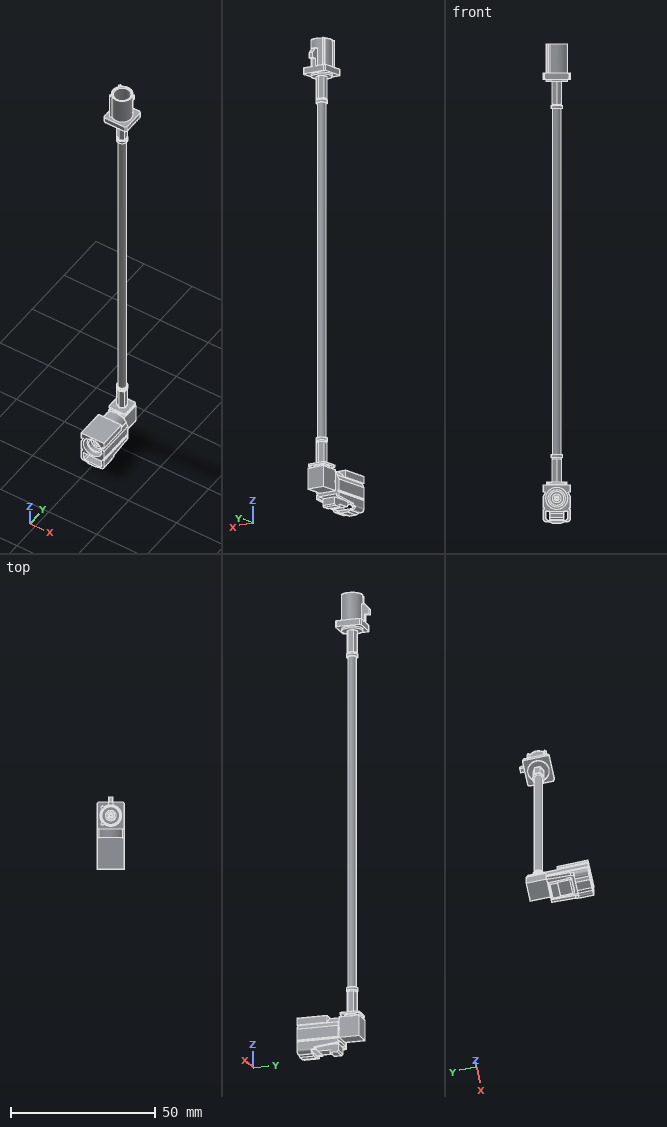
import cadquery as cq
import math


HEIGHT = 166.4
FLANGE_TOP = 156.2
FLANGE_BOTTOM = 154.0
STUB_BOTTOM = 153.4
PLATE_TOP = 14.3
PLATE_THICKNESS = 0.7

CABLE_RADIUS = 1.5
HEX_SIDES = 6
HEX_ACROSS_FLATS = 3.3
RING_RADIUS = 2.0
RING_LENGTH = 1.0
NECK_LENGTH = 0.5
FERRULE_LENGTH = 9.5

HOUSING_WIDTH = 9.5
BARREL_RADIUS = 7.5 / 2
BARREL_BORE_RADIUS = 6.2 / 2
MOUTH_CHAMFER = 0.3
FLANGE_CHAMFER = 0.5
KEY_TIP_RADIUS = 4.5
KEY_WIDTH = 0.75
KEY_ANGLES = (135, 225)
CATCH_WIDTH = 1.5
CATCH_STEM = HOUSING_WIDTH / 2
CATCH_TIP = 6.5
CATCH_TOP = 162.7
CATCH_TIP_TOP = 160.7
CATCH_TIP_BOTTOM = 158.9

SOCKET_RADIUS = 1.8
SOCKET_BORE_RADIUS = 1.3
PIN_RADIUS = 0.8
PIN_CHAMFER = 0.42
SOCKET_HEIGHT = 3.3

ELBOW_WIDTH = 6.7
ELBOW_LENGTH = 7.3
ELBOW_BOTTOM = 5.3
ELBOW_TOP = 12.8
PLATE_WIDTH = 7.0
PLATE_CHAMFER = 0.5
COLLAR_RADIUS = 5.5 / 2
SLEEVE_RADIUS = 3.0
SLEEVE_WALL = 0.58
SLEEVE_END = -17.5
INSULATOR_END = -15.8
INSULATOR_BORE_RADIUS = 1.5
INSULATOR_BORE_DEPTH = 3.3

BACK_Y = -ELBOW_LENGTH / 2
FRONT_Y = -18.6
BODY_TOP = 13.3
BODY_BOTTOM = 4.2
MATING_Z = 8.7
MATING_BORE_RADIUS = 3.8
SHOULDER_Y = -7.7
MATING_BORE_FLOOR = SHOULDER_Y
SHOULDER_Z = 10.8
SIDE_GROOVE_DEPTH = 0.75
SIDE_GROOVE_BOTTOM = 9.3
SLIT_DEPTH = 0.3
SLIT_BOTTOM = 4.8
SLIT_TOP = 5.3
LEG_THICKNESS = 1.0
LEG_BOTTOM = 1.7
LEG_BACK_BOTTOM = 3.3
LEG_MIDDLE_BOTTOM = 2.3
LEG_STEP_Y = -12.3
BRIDGE_BACK_Y = -13.5
BRIDGE_UNDERSIDE = 0.5
BRIDGE_TOP = 1.0
PAD_HALF_WIDTH = 2.7
PAD_TIP_HALF_WIDTH = 1.5
WINDOW_CHAMFER = 0.58

LEVER_WIDTH = 5.0
LEVER_ROOT_Y = -10.6
LEVER_ROOT_FRONT_Y = -12.0
LEVER_TOP = 3.3
LEVER_UNDERSIDE = 1.3
HOOK_BACK_Y = -4.2
HOOK_FRONT_Y = -7.3
HOOK_BOTTOM = 0.42
HOOK_CHAMFER = 0.5
LEVER_TIP_CHAMFER = 0.7


def cylinder(radius, bottom, top):
    """Solid cylinder on the cable axis."""
    return cq.Workplane("XY").workplane(offset=bottom).circle(radius).extrude(top - bottom)


def mating_cylinder(radius, back, front):
    """Solid cylinder on the axis of the angled connector, from back to front along -Y."""
    return cq.Workplane("XZ", origin=(0, back, MATING_Z)).circle(radius).extrude(back - front)


def square_slab(width, bottom, top, corner_chamfer):
    """Square plate on the cable axis with chamfered corners."""
    slab = cq.Workplane("XY").workplane(offset=bottom).rect(width, width).extrude(top - bottom)
    return slab.edges("|Z").chamfer(corner_chamfer)


def side_profile(points, width):
    """Prism of a (y, z) outline, centred on X = 0."""
    return cq.Workplane("YZ").polyline(points).close().extrude(width / 2, both=True)


def make_cable():
    return cylinder(CABLE_RADIUS, PLATE_TOP, STUB_BOTTOM)


def make_ferrule(connector_z, direction):
    """Hexagonal crimp with a round ring at its cable end; direction +1 points up the cable."""
    ring_start = FERRULE_LENGTH - RING_LENGTH
    hex_end = ring_start - NECK_LENGTH
    corner_diameter = HEX_ACROSS_FLATS / math.cos(math.pi / HEX_SIDES)
    ferrule = cq.Workplane("XY").polygon(HEX_SIDES, corner_diameter).extrude(hex_end)
    ferrule = ferrule.rotate((0, 0, 0), (0, 0, 1), 90)
    ferrule = ferrule.union(cylinder(HEX_ACROSS_FLATS / 2, hex_end, ring_start))
    ferrule = ferrule.union(cylinder(RING_RADIUS, ring_start, FERRULE_LENGTH))
    ferrule = ferrule.cut(cylinder(CABLE_RADIUS, 0, FERRULE_LENGTH))
    if direction < 0:
        ferrule = ferrule.mirror("XY")
    return ferrule.translate((0, 0, connector_z))


def make_straight_housing():
    """Barrel with keys and a catch on a square flange, with the contact socket in its floor."""
    housing = square_slab(HOUSING_WIDTH, FLANGE_BOTTOM, FLANGE_TOP, FLANGE_CHAMFER)
    housing = housing.union(cylinder(BARREL_RADIUS, STUB_BOTTOM, HEIGHT))
    barrel_length = HEIGHT - FLANGE_TOP
    for angle in KEY_ANGLES:
        key = cq.Workplane("XY").box(KEY_TIP_RADIUS, KEY_WIDTH, barrel_length, centered=(False, True, False))
        key = key.rotate((0, 0, 0), (0, 0, 1), angle).translate((0, 0, FLANGE_TOP))
        housing = housing.union(key)
    catch = side_profile(
        [
            (0, FLANGE_TOP),
            (CATCH_STEM, FLANGE_TOP),
            (CATCH_STEM, CATCH_TIP_BOTTOM),
            (CATCH_TIP, CATCH_TIP_BOTTOM),
            (CATCH_TIP, CATCH_TIP_TOP),
            (CATCH_STEM, CATCH_TOP),
            (0, CATCH_TOP),
        ],
        CATCH_WIDTH,
    )
    housing = housing.union(catch)
    housing = housing.cut(cylinder(BARREL_BORE_RADIUS, FLANGE_TOP, HEIGHT))
    bore_rim = cq.selectors.RadiusNthSelector(0)
    housing = housing.faces(">Z").edges("%CIRCLE").edges(bore_rim).chamfer(MOUTH_CHAMFER)
    socket_top = FLANGE_TOP + SOCKET_HEIGHT
    socket = cylinder(SOCKET_RADIUS, FLANGE_TOP, socket_top)
    socket = socket.cut(cylinder(SOCKET_BORE_RADIUS, FLANGE_TOP, socket_top))
    pin = cylinder(PIN_RADIUS, FLANGE_TOP, socket_top).faces(">Z").chamfer(PIN_CHAMFER)
    return housing.union(socket).union(pin)


def make_elbow():
    """Elbow block with the cable plate on top and the contact sleeve towards -Y."""
    elbow = cq.Workplane("XY").workplane(offset=ELBOW_BOTTOM)
    elbow = elbow.rect(ELBOW_WIDTH, ELBOW_LENGTH).extrude(ELBOW_TOP - ELBOW_BOTTOM)
    plate_bottom = PLATE_TOP - PLATE_THICKNESS
    elbow = elbow.union(cylinder(COLLAR_RADIUS, ELBOW_TOP, plate_bottom))
    elbow = elbow.union(square_slab(PLATE_WIDTH, plate_bottom, PLATE_TOP, PLATE_CHAMFER))
    elbow = elbow.union(mating_cylinder(SLEEVE_RADIUS, BACK_Y, SLEEVE_END))
    elbow = elbow.cut(mating_cylinder(SLEEVE_RADIUS - SLEEVE_WALL, INSULATOR_END, SLEEVE_END))
    socket_floor = INSULATOR_END + INSULATOR_BORE_DEPTH
    elbow = elbow.cut(mating_cylinder(INSULATOR_BORE_RADIUS, socket_floor, INSULATOR_END))
    pin = mating_cylinder(PIN_RADIUS, socket_floor, INSULATOR_END).faces("<Y").chamfer(PIN_CHAMFER)
    return elbow.union(pin)


def body_section():
    """Front outline of the angled housing above its legs, with the grooves in both sides."""
    half = HOUSING_WIDTH / 2
    right = [
        (half, BODY_TOP),
        (half, SHOULDER_Z),
        (half - SIDE_GROOVE_DEPTH, SHOULDER_Z),
        (half, SIDE_GROOVE_BOTTOM),
        (half, SLIT_TOP),
        (half - SLIT_DEPTH, SLIT_TOP),
        (half - SLIT_DEPTH, SLIT_BOTTOM),
        (half, SLIT_BOTTOM),
        (half, BODY_BOTTOM),
    ]
    left = [(-x, z) for x, z in reversed(right)]
    return right + left


def make_body_block():
    length = BACK_Y - FRONT_Y
    block = cq.Workplane("XZ", origin=(0, BACK_Y, 0)).polyline(body_section()).close().extrude(length)
    shoulder = cq.Workplane("XY").box(
        HOUSING_WIDTH, BACK_Y - SHOULDER_Y, BODY_TOP - SHOULDER_Z, centered=(True, False, False)
    )
    shoulder = shoulder.translate((0, SHOULDER_Y, SHOULDER_Z))
    rounding = mating_cylinder(BODY_TOP - MATING_Z, BACK_Y, SHOULDER_Y)
    return block.cut(shoulder.cut(rounding))


def make_leg(side):
    """Side wall hanging below the body; side is -1 or +1 along X."""
    leg = side_profile(
        [
            (BACK_Y, BODY_BOTTOM),
            (BACK_Y, LEG_BACK_BOTTOM),
            (LEG_STEP_Y, LEG_MIDDLE_BOTTOM),
            (LEG_STEP_Y, LEG_BOTTOM),
            (FRONT_Y, LEG_BOTTOM),
            (FRONT_Y, BODY_BOTTOM),
        ],
        LEG_THICKNESS,
    )
    return leg.translate((side * (HOUSING_WIDTH - LEG_THICKNESS) / 2, 0, 0))


def make_bridge():
    """Band at the mouth that joins the two legs and carries the bottom pad."""
    half = HOUSING_WIDTH / 2
    inner = half - LEG_THICKNESS
    corner_radius = LEG_BOTTOM - BRIDGE_UNDERSIDE
    corner_x = half - corner_radius
    section = (
        cq.Workplane("XZ", origin=(0, BRIDGE_BACK_Y, 0))
        .moveTo(-PAD_TIP_HALF_WIDTH, 0)
        .lineTo(PAD_TIP_HALF_WIDTH, 0)
        .lineTo(PAD_HALF_WIDTH, BRIDGE_UNDERSIDE)
        .lineTo(corner_x, BRIDGE_UNDERSIDE)
        .radiusArc((half, LEG_BOTTOM), -corner_radius)
        .lineTo(half, BODY_BOTTOM)
        .lineTo(inner, BODY_BOTTOM)
        .lineTo(inner, BRIDGE_TOP + WINDOW_CHAMFER)
        .lineTo(inner - WINDOW_CHAMFER, BRIDGE_TOP)
        .lineTo(WINDOW_CHAMFER - inner, BRIDGE_TOP)
        .lineTo(-inner, BRIDGE_TOP + WINDOW_CHAMFER)
        .lineTo(-inner, BODY_BOTTOM)
        .lineTo(-half, BODY_BOTTOM)
        .lineTo(-half, LEG_BOTTOM)
        .radiusArc((-corner_x, BRIDGE_UNDERSIDE), -corner_radius)
        .lineTo(-PAD_HALF_WIDTH, BRIDGE_UNDERSIDE)
        .close()
    )
    return section.extrude(BRIDGE_BACK_Y - FRONT_Y)


def make_lever():
    """Latch lever hanging from the body, with its hook at the back end."""
    return side_profile(
        [
            (LEVER_ROOT_Y, BODY_BOTTOM),
            (LEVER_ROOT_Y, LEVER_TOP),
            (HOOK_BACK_Y, LEVER_TOP),
            (HOOK_BACK_Y, HOOK_BOTTOM + HOOK_CHAMFER),
            (HOOK_BACK_Y - HOOK_CHAMFER, HOOK_BOTTOM),
            (HOOK_FRONT_Y, HOOK_BOTTOM),
            (HOOK_FRONT_Y, LEVER_UNDERSIDE),
            (LEG_STEP_Y + LEVER_TIP_CHAMFER, LEVER_UNDERSIDE),
            (LEG_STEP_Y, LEVER_UNDERSIDE + LEVER_TIP_CHAMFER),
            (LEG_STEP_Y, LEVER_TOP),
            (LEVER_ROOT_FRONT_Y, LEVER_TOP),
            (LEVER_ROOT_FRONT_Y, BODY_BOTTOM),
        ],
        LEVER_WIDTH,
    )


def make_angled_housing():
    housing = make_body_block()
    for side in (-1, 1):
        housing = housing.union(make_leg(side))
    housing = housing.union(make_bridge()).union(make_lever())
    housing = housing.cut(mating_cylinder(MATING_BORE_RADIUS, MATING_BORE_FLOOR, FRONT_Y))
    return housing.cut(mating_cylinder(SLEEVE_RADIUS, BACK_Y, MATING_BORE_FLOOR))


cable = make_cable()
ferrules = [make_ferrule(PLATE_TOP, 1), make_ferrule(STUB_BOTTOM, -1)]
straight_housing = make_straight_housing()
elbow = make_elbow()
angled_housing = make_angled_housing()

result = cq.Compound.makeCompound(
    [
        cable.val(),
        *[ferrule.val() for ferrule in ferrules],
        straight_housing.val(),
        elbow.val(),
        angled_housing.val(),
    ]
)